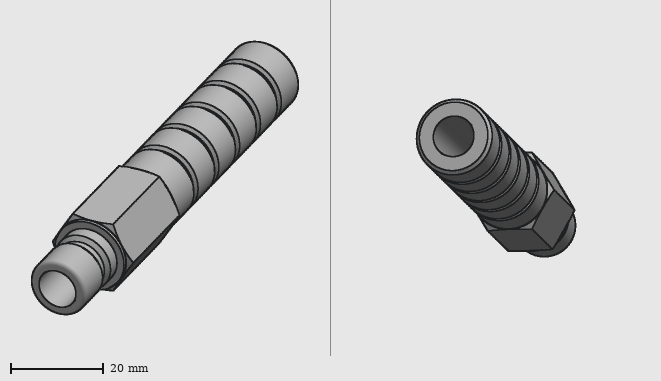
import cadquery as cq
import math

total_length = 100.0
bore_dia = 9.0

body_radius = 8.4
groove_count = 5
groove_pitch = 10.0
groove_width = 2.0
groove_depth = 0.75
rear_chamfer = 0.8

hex_across_flats = 17.0
hex_start = 60.0
hex_end = 83.7
hex_chamfer_radius = hex_across_flats / 2
hex_chamfer_angle = 30.0
collar_end = 84.6

spigot_radius = 6.7
neck_radius = 5.7
neck_start = 87.7
neck_end = 91.5
neck_taper = 1.0
tip_fillet = 1.0


def revolve_profile(points):
    """Revolve (radius, station) points about Y, with both ends closed on the axis."""
    outline = [(0, points[0][1])] + points + [(0, points[-1][1])]
    return (
        cq.Workplane("XY")
        .polyline([(radius, total_length / 2 - station) for radius, station in outline])
        .close()
        .revolve(360, (0, 0, 0), (0, 1, 0))
    )


def groove_points(center):
    """45 degree groove walls on either side of a narrow flat floor."""
    half_width = groove_width / 2
    half_floor = half_width - groove_depth
    floor_radius = body_radius - groove_depth
    return [
        (body_radius, center - half_width),
        (floor_radius, center - half_floor),
        (floor_radius, center + half_floor),
        (body_radius, center + half_width),
    ]


def turned_body():
    points = [(body_radius - rear_chamfer, 0), (body_radius, rear_chamfer)]
    for index in range(groove_count):
        points += groove_points((index + 1) * groove_pitch)
    points += [
        (body_radius, collar_end),
        (spigot_radius, collar_end),
        (spigot_radius, neck_start),
        (neck_radius, neck_start + neck_taper),
        (neck_radius, neck_end - neck_taper),
        (spigot_radius, neck_end),
        (spigot_radius, total_length),
    ]
    return revolve_profile(points).faces("<Y").edges().fillet(tip_fillet)


def hexagon():
    """Hexagon with corners on +X and -X, its corners turned off conically at both ends."""
    corner_radius = hex_across_flats / math.sqrt(3)
    cone_length = (corner_radius - hex_chamfer_radius) * math.tan(math.radians(hex_chamfer_angle))
    prism = (
        cq.Workplane("XZ", origin=(0, total_length / 2 - hex_start, 0))
        .polygon(6, 2 * corner_radius)
        .extrude(hex_end - hex_start)
    )
    envelope = revolve_profile([
        (hex_chamfer_radius, hex_start),
        (corner_radius, hex_start + cone_length),
        (corner_radius, hex_end - cone_length),
        (hex_chamfer_radius, hex_end),
    ])
    return prism.intersect(envelope)


def bore():
    return (
        cq.Workplane("XZ", origin=(0, total_length / 2, 0))
        .circle(bore_dia / 2)
        .extrude(total_length)
    )


result = turned_body().union(hexagon()).cut(bore())